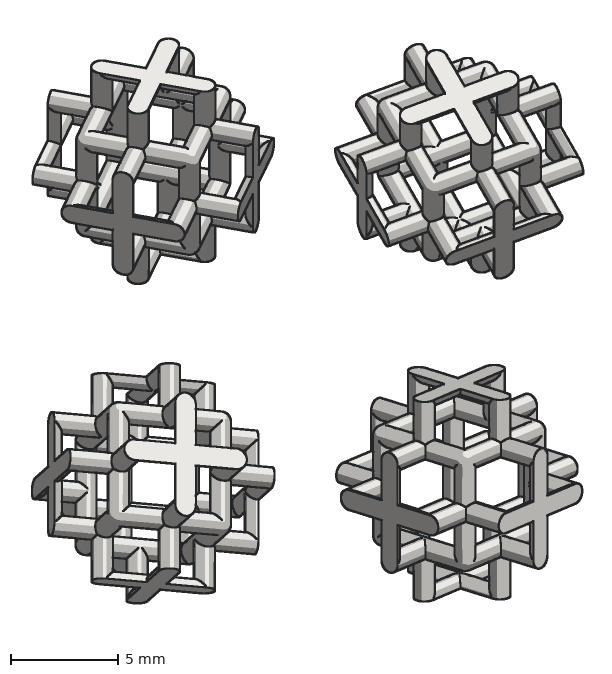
import cadquery as cq

outer_size = 10.0
rod_diameter = 1.0

rod_radius = rod_diameter / 2
face_distance = outer_size / 2
cube_half = outer_size / 4

SIGNS = (-1, 1)
AXES = (0, 1, 2)


def vector_on_axes(axis, along, side_a, side_b):
    """Vector with one component along the given axis and two along the next axes in cyclic order."""
    components = [0.0, 0.0, 0.0]
    components[axis] = along
    components[(axis + 1) % 3] = side_a
    components[(axis + 2) % 3] = side_b
    return cq.Vector(*components)


def rod(axis, start, end, side_a, side_b):
    """Round rod parallel to an axis, from start to end, offset sideways on the other two axes."""
    base = vector_on_axes(axis, start, side_a, side_b)
    direction = vector_on_axes(axis, 1.0, 0.0, 0.0)
    return cq.Solid.makeCylinder(rod_radius, end - start, base, direction)


def cube_edges():
    """Twelve edge rods of the inner cube."""
    return [
        rod(axis, -cube_half, cube_half, sign_a * cube_half, sign_b * cube_half)
        for axis in AXES
        for sign_a in SIGNS
        for sign_b in SIGNS
    ]


def cube_corners():
    """Balls that round the eight corners of the inner cube."""
    ball = cq.Workplane("XY").sphere(rod_radius).val()
    return [
        ball.translate(cq.Vector(x, y, z) * cube_half)
        for x in SIGNS
        for y in SIGNS
        for z in SIGNS
    ]


def arms():
    """Rods from the middle of each cube edge out to the two nearest outer faces."""
    rods = []
    for axis in AXES:
        for start, end in ((-face_distance, -cube_half), (cube_half, face_distance)):
            for sign in SIGNS:
                rods.append(rod(axis, start, end, sign * cube_half, 0.0))
                rods.append(rod(axis, start, end, 0.0, sign * cube_half))
    return rods


def face_crosses():
    """Two crossed rods centred on each outer face, joining the outer ends of its four arms."""
    rods = []
    for axis in AXES:
        for sign in SIGNS:
            rods.append(rod(axis, -cube_half, cube_half, sign * face_distance, 0.0))
            rods.append(rod(axis, -cube_half, cube_half, 0.0, sign * face_distance))
    return rods


members = cube_edges() + cube_corners() + arms() + face_crosses()
lattice = members[0].fuse(*members[1:])

envelope = cq.Workplane("XY").box(outer_size, outer_size, outer_size)
result = envelope.intersect(cq.Workplane(obj=lattice))